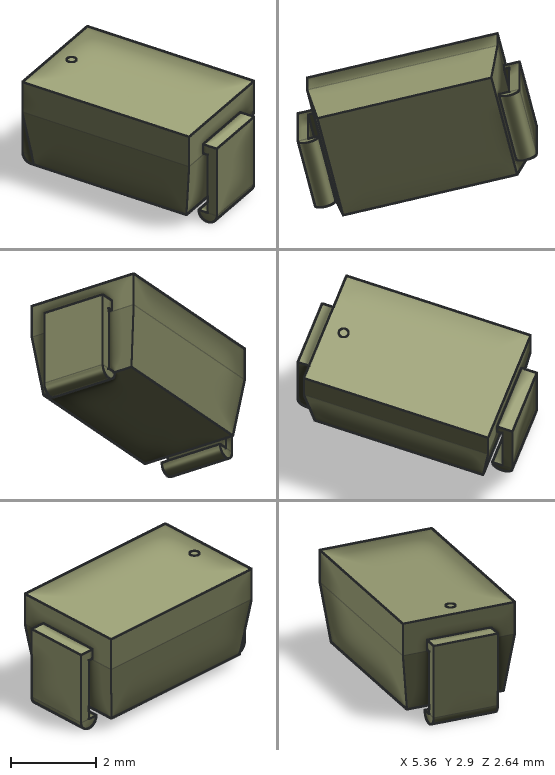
import cadquery as cq

overall_length = 5.36
overall_width = 2.9
overall_height = 2.64

housing_length = 4.6
upper_height = 0.825
housing_bottom = 0.31
taper_inset = 0.2
parting_height = overall_height - upper_height

lead_width = 1.66
lead_thickness = 0.25
lead_top = overall_height - 0.535
foot_radius = lead_thickness

mark_diameter = 0.23
mark_depth = 0.055
mark_x = -housing_length / 2 + 0.46


def make_mark():
    """Disc whose top is level with the housing top."""
    return (
        cq.Workplane("XY", origin=(mark_x, 0, overall_height - mark_depth))
        .circle(mark_diameter / 2)
        .extrude(mark_depth)
    )


def make_housing(mark):
    """Housing with a recess that fits the mark."""
    upper = (
        cq.Workplane("XY", origin=(0, 0, parting_height))
        .rect(housing_length, overall_width)
        .extrude(upper_height)
    )
    lower = (
        cq.Workplane("XY", origin=(0, 0, housing_bottom))
        .rect(housing_length - 2 * taper_inset, overall_width - 2 * taper_inset)
        .workplane(offset=parting_height - housing_bottom)
        .rect(housing_length, overall_width)
        .loft(ruled=True)
    )
    return upper.union(lower).cut(mark)


def make_lead(side):
    """Lead at the -X (side = -1) or +X (side = 1) end, butted against the housing."""
    outer_x = side * overall_length / 2
    leg_inner_x = outer_x - side * lead_thickness
    foot_inner_x = outer_x - side * 2 * foot_radius
    housing_x = side * housing_length / 2
    arm_bottom = lead_top - lead_thickness
    profile_plane = cq.Workplane("XZ", origin=(0, lead_width / 2, 0))

    arm_and_leg = (
        profile_plane.moveTo(outer_x, foot_radius)
        .lineTo(outer_x, lead_top)
        .lineTo(housing_x, lead_top)
        .lineTo(housing_x, arm_bottom)
        .lineTo(leg_inner_x, arm_bottom)
        .lineTo(leg_inner_x, foot_radius)
        .close()
        .extrude(lead_width)
    )
    foot = (
        profile_plane.moveTo(outer_x, foot_radius)
        .threePointArc((leg_inner_x, 0), (foot_inner_x, foot_radius))
        .close()
        .extrude(lead_width)
    )
    return arm_and_leg.union(foot, clean=False)


mark = make_mark()
housing = make_housing(mark)
leads = [make_lead(side) for side in (-1, 1)]

result = cq.Compound.makeCompound(
    [housing.solids().val(), mark.val(), *[lead.solids().val() for lead in leads]]
)